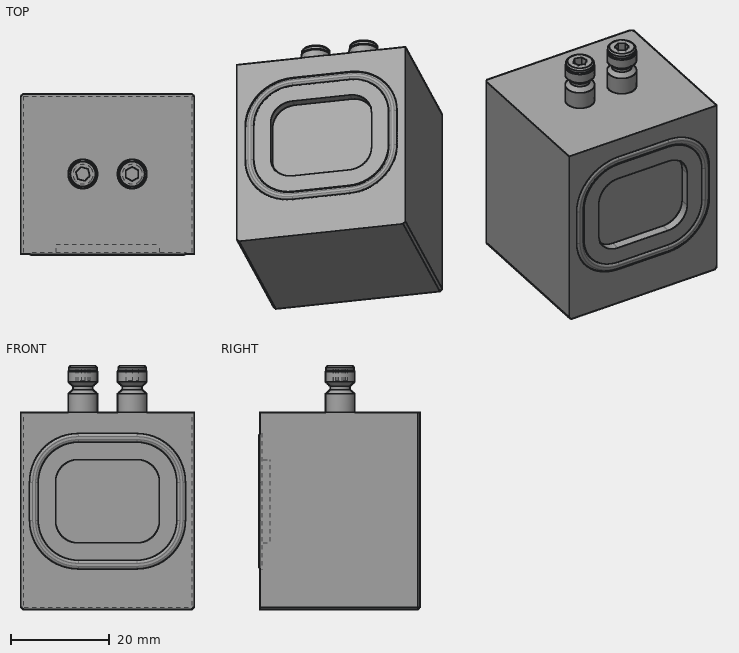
import cadquery as cq

body_width = 35.25
body_height = 40.0
total_height = 49.5
total_depth = 32.75
seal_height = 0.25
body_depth = total_depth - seal_height
front_y = -body_depth / 2
edge_chamfer = 0.5

window_z = 22.0
seal_width = 31.7
seal_length = 27.5
seal_radius = 9.9
seal_band = 1.8
seal_rounding = 0.6
seal_thickness = 0.75
window_width = 21.1
window_length = 16.95
window_radius = 4.55
window_depth = 2.0

pin_spacing = 10.0
pin_height = total_height - body_height
pin_radius = 6.0 / 2
neck_radius = 2.05
tip_radius = 2.85
crown_radius = 2.5
shank_top = 3.75
neck_bottom = 4.65
neck_top = 5.3
head_bottom = 6.25
head_top = 8.25
tip_bottom = 8.55
tip_top = 9.1

socket_flats = 2.5
socket_depth = 2.95
left_socket_turn = 15.0


def make_body():
    """Block chamfered along the bottom except at the front, and up both back corners."""
    block = cq.Workplane("XY").box(body_width, body_depth, body_height, centered=(True, True, False))
    return block.edges("(<Z and (<X or >X or >Y)) or (>Y and (<X or >X))").chamfer(edge_chamfer)


def rounded_prism(width, length, radius, depth, start_y):
    """Rounded rectangle centred on the window, extruded from start_y toward -Y."""
    prism = cq.Workplane("XZ", origin=(0, start_y, window_z)).rect(width, length).extrude(depth)
    return prism.edges("|Y").fillet(radius)


def seal_prism(inset, depth, start_y):
    """Solid inside the seal outline moved inward by inset."""
    width = seal_width - 2 * inset
    length = seal_length - 2 * inset
    return rounded_prism(width, length, seal_radius - inset, depth, start_y)


def seal_band_ring(thickness):
    """Square-edged ring seated on the floor of the seal groove."""
    groove_floor = front_y + seal_thickness - seal_height
    outer = seal_prism(0, thickness, groove_floor)
    return outer.cut(seal_prism(seal_band, thickness, groove_floor))


def make_groove():
    """Channel in the front face that holds the seal."""
    return seal_band_ring(seal_thickness - seal_height)


def make_seal():
    """Ring filling the groove, with a rounded crest that stands out of the front face."""
    return seal_band_ring(seal_thickness).faces("<Y").edges().fillet(seal_rounding)


def make_pin(x, socket_turn):
    """Grooved pin with a chamfered tip and a hexagonal socket, standing on the top face."""
    profile = [
        (0, 0),
        (pin_radius, 0),
        (pin_radius, shank_top),
        (neck_radius, neck_bottom),
        (neck_radius, neck_top),
        (pin_radius, head_bottom),
        (pin_radius, head_top),
        (tip_radius, tip_bottom),
        (tip_radius, tip_top),
        (crown_radius, pin_height),
        (0, pin_height),
    ]
    pin = cq.Workplane("XZ").polyline(profile).close().revolve(360, (0, 0), (0, 1))
    socket = (
        cq.Workplane("XY", origin=(0, 0, pin_height))
        .polygon(6, socket_flats, circumscribed=True)
        .extrude(-socket_depth)
        .rotate((0, 0, 0), (0, 0, 1), socket_turn)
    )
    return pin.cut(socket).translate((x, 0, body_height))


window = rounded_prism(window_width, window_length, window_radius, window_depth, front_y + window_depth)
result = (
    make_body()
    .cut(window)
    .cut(make_groove())
    .union(make_seal())
    .union(make_pin(-pin_spacing / 2, left_socket_turn))
    .union(make_pin(pin_spacing / 2, 0))
)